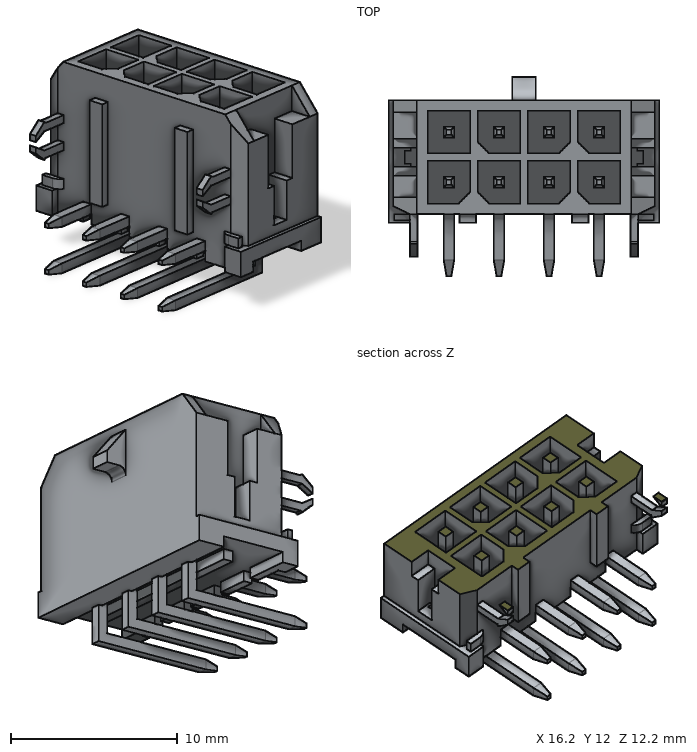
import cadquery as cq
import math


pitch = 3.0
columns = 4
pin_size = 0.65
tip_size = 0.29
tip_length = 1.0
tail_end_y = -7.15
mating_tip_z = 7.29
front_row_y = -pitch / 2
rear_row_y = pitch / 2
front_tail_z = 0.99
rear_tail_z = front_tail_z - pitch
column_x = [(i - (columns - 1) / 2) * pitch for i in range(columns)]

housing_width = 15.65
housing_depth = 6.84
housing_top = 9.91
shoulder_z = 8.26
core_width = 12.83
front_width = 13.67
corner_depth = 0.49
half_depth = housing_depth / 2
front_y = -half_depth
ramp_rear_y = 2.69
ramp_front_y = -2.41

base_width = 16.2
base_height = 1.64
standoff = 0.52
recess_height = front_tail_z - pin_size / 2
recess_front_y = -2.82
recess_rear_y = 1.57
bar_depth = 0.66

cell_size = 2.56
cell_chamfer = 0.7
cell_floor = 1.95
front_row_keys = [1, -1, 1, -1]
rear_row_keys = [0, -1, 1, -1]

slot_wide = 2.2
slot_narrow = 1.13
slot_step_z = 4.8
slot_floor_z = 2.25
pocket_wide_x = 6.79
pocket_narrow_x = 7.13
pocket_narrow = 0.8
pocket_depth = 0.49

rib_spacing = 6.74
rib_width = 1.0

latch_width = 1.41
latch_top_z = 9.36
latch_nose_y = 4.81
latch_nose_top_z = 7.71
latch_bottom_z = 6.97
latch_fillet = 0.52

prong_inner_x = 6.37
prong_mid_z = 5.354
prong_outer = 1.13
prong_inner = 0.62
barb_height = 1.23
prong_tip_outer = 0.57
prong_tip_inner = 0.16
prong_bend_y = -5.05
barb_y = -5.18
prong_end_y = -5.98

tab_bottom_z = 1.72
tab_height = 0.65
tab_thickness = 0.35
tab_bend_x = 6.97
tab_end_x = 7.76

embed = 0.32


def block(x0, x1, y0, y1, z0, z1):
    """Box between two opposite corners."""
    return cq.Workplane("XY").box(x1 - x0, y1 - y0, z1 - z0, centered=False).translate((x0, y0, z0))


def both_ends(left):
    """A feature of the -X end together with its mirror image at the +X end."""
    return left.union(left.mirror("YZ"))


def make_housing():
    half_width = housing_width / 2
    corner_x = front_width / 2
    plan = [
        (-half_width, half_depth),
        (half_width, half_depth),
        (half_width, front_y + corner_depth),
        (corner_x, front_y),
        (-corner_x, front_y),
        (-half_width, front_y + corner_depth),
    ]
    section = [
        (-half_width, 0),
        (half_width, 0),
        (half_width, shoulder_z),
        (core_width / 2, housing_top),
        (-core_width / 2, housing_top),
        (-half_width, shoulder_z),
    ]
    body = cq.Workplane("XY").polyline(plan).close().extrude(housing_top)
    profile = cq.Workplane("XZ").polyline(section).close().extrude(half_depth, both=True)
    gap = block(-half_width, -core_width / 2, ramp_front_y, ramp_rear_y, shoulder_z, housing_top)
    return body.intersect(profile).cut(both_ends(gap))


def make_base():
    flange_inner_x = front_width / 2
    end = block(-base_width / 2, -flange_inner_x, front_y - standoff, half_depth, 0, base_height)
    return both_ends(end)


def make_end_slots():
    inner_x = -core_width / 2
    outer_x = -housing_width / 2
    wide = block(outer_x, inner_x, -slot_wide / 2, slot_wide / 2, slot_step_z, shoulder_z)
    narrow = block(outer_x, inner_x, -slot_narrow / 2, slot_narrow / 2, slot_floor_z, slot_step_z)
    pocket_z = slot_floor_z - pocket_depth
    pocket = block(-pocket_wide_x, inner_x, -slot_narrow / 2, slot_narrow / 2, pocket_z, slot_floor_z)
    notch = block(
        -pocket_narrow_x, inner_x, -pocket_narrow / 2, pocket_narrow / 2, pocket_z, slot_floor_z
    )
    return both_ends(wide.union(narrow).union(pocket).union(notch))


def make_underside_recess():
    half = base_width / 2
    recess = block(-half, half, recess_front_y, recess_rear_y, 0, recess_height)
    bar_end = core_width / 2
    bar = block(-bar_end, bar_end, -bar_depth / 2, bar_depth / 2, 0, recess_height)
    recess = recess.cut(bar)
    for x in column_x:
        slot = block(x - pin_size / 2, x + pin_size / 2, front_y, recess_front_y, 0, recess_height)
        recess = recess.union(slot)
    return recess


def make_cell(x, y, key):
    half = cell_size / 2
    cell = block(x - half, x + half, y - half, y + half, cell_floor, housing_top)
    if key:
        corner = [
            (x + key * half, y - half),
            (x + key * (half - cell_chamfer), y - half),
            (x + key * half, y - half + cell_chamfer),
        ]
        cell = cell.cut(cq.Workplane("XY").polyline(corner).close().extrude(housing_top))
    return cell


def make_bar_with_tip(plane, length):
    """Square bar along the plane's normal, ending in a tapered tip."""
    taper = math.degrees(math.atan((pin_size - tip_size) / 2 / tip_length))
    shank = length - tip_length
    bar = cq.Workplane(plane).rect(pin_size, pin_size).extrude(shank)
    tip = cq.Workplane(plane).workplane(offset=shank).rect(pin_size, pin_size)
    return bar.union(tip.extrude(tip_length, taper=taper))


def make_contact(x, row_y, tail_z):
    """L-shaped contact: upright mating pin and forward solder tail."""
    heel_y = row_y + pin_size / 2
    heel_z = tail_z - pin_size / 2
    upright = make_bar_with_tip("XY", mating_tip_z - heel_z).translate((x, row_y, heel_z))
    tail = make_bar_with_tip("XZ", heel_y - tail_end_y).translate((x, heel_y, tail_z))
    return upright.union(tail)


def make_rib(x):
    half = rib_width / 2
    return block(x - half, x + half, front_y - standoff, front_y + embed, base_height, shoulder_z)


def make_latch():
    arc_centre_y = half_depth + latch_fillet
    arc_centre_z = latch_bottom_z - latch_fillet
    arc_offset = latch_fillet * math.sqrt(0.5)
    root_y = half_depth - embed
    return (
        cq.Workplane("YZ")
        .moveTo(root_y, latch_top_z)
        .lineTo(half_depth, latch_top_z)
        .lineTo(latch_nose_y, latch_nose_top_z)
        .lineTo(latch_nose_y, latch_bottom_z)
        .lineTo(arc_centre_y, latch_bottom_z)
        .threePointArc(
            (arc_centre_y - arc_offset, arc_centre_z + arc_offset),
            (half_depth, arc_centre_z),
        )
        .lineTo(root_y, arc_centre_z)
        .close()
        .extrude(latch_width / 2, both=True)
    )


def make_prong(side):
    """One prong of a board lock: side is 1 for the upper, -1 for the lower."""
    outline = [
        (front_y + embed, prong_outer),
        (prong_bend_y, prong_outer),
        (barb_y, barb_height),
        (prong_end_y, prong_tip_outer),
        (prong_end_y, prong_tip_inner),
        (barb_y, prong_inner),
        (front_y + embed, prong_inner),
    ]
    points = [(y, prong_mid_z + side * height) for y, height in outline]
    thickness = front_width / 2 - prong_inner_x
    prong = cq.Workplane("YZ").polyline(points).close().extrude(thickness)
    return prong.translate((-front_width / 2, 0, 0))


def make_tab():
    """Flat tab whose inner end curves back into the front wall."""
    outer_y = front_y - tab_thickness
    bend_run = tab_bend_x - prong_inner_x
    bend_radius = (bend_run**2 + tab_thickness**2) / (2 * tab_thickness)
    half_angle = math.asin(bend_run / bend_radius) / 2
    arc_mid = (
        -tab_bend_x + bend_radius * math.sin(half_angle),
        outer_y + bend_radius * (1 - math.cos(half_angle)),
    )
    return (
        cq.Workplane("XY")
        .workplane(offset=tab_bottom_z)
        .moveTo(-tab_end_x, front_y)
        .lineTo(-tab_end_x, outer_y)
        .lineTo(-tab_bend_x, outer_y)
        .threePointArc(arc_mid, (-prong_inner_x, front_y))
        .close()
        .extrude(tab_height)
    )


result = make_housing().union(make_base()).cut(make_underside_recess()).cut(make_end_slots())
for x, front_key, rear_key in zip(column_x, front_row_keys, rear_row_keys):
    result = result.cut(make_cell(x, front_row_y, front_key))
    result = result.cut(make_cell(x, rear_row_y, rear_key))
for x in column_x:
    result = result.union(make_contact(x, front_row_y, front_tail_z))
    result = result.union(make_contact(x, rear_row_y, rear_tail_z))
for x in (-rib_spacing / 2, rib_spacing / 2):
    result = result.union(make_rib(x))
for side in (1, -1):
    result = result.union(both_ends(make_prong(side)))
result = result.union(make_latch()).union(both_ends(make_tab()))